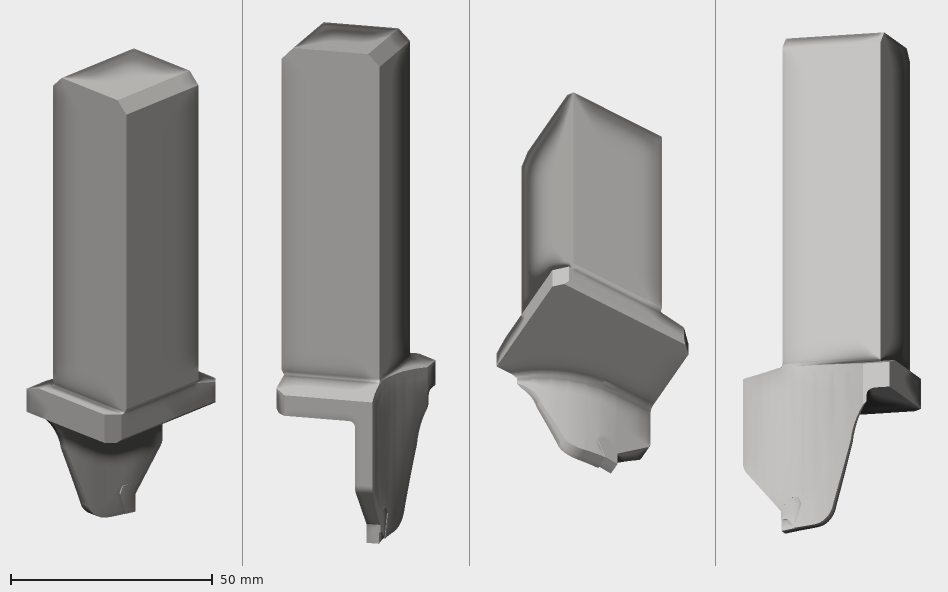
import cadquery as cq
import math

SHANK = 25.5
HEIGHT = 125.4
TOP_CHAMFER = 3.0
NECK_CHAMFER_X = 0.8
NECK_CHAMFER_Z = 1.4
NECK_FILLET = 1.0
FRONT_FILLET = 0.5

FLANGE_TOP = 41.2
FLANGE_BOTTOM = 33.6
FLANGE_LEFT = -5.4
FLANGE_RIGHT = SHANK - NECK_CHAMFER_X
FLANGE_FRONT = -3.9
FLANGE_BACK = 35.2
LEFT_EDGE_TOP = 39.9
BACK_EDGE_TOP = 38.9
CORNER_CHAMFER = 3.0
BOTTOM_CHAMFER = 0.9

FACE_RADIUS = 52.6
FACE_APEX_X = -0.3
FACE_APEX_Y = 25.7
BLADE_BACK_X = 3.4
BLADE_FRONT_Y = 2.0
BLADE_FILLET = 1.5
NOSE_Z = 0.5

NOTCH_Z = 30.3
SHOULDER_END = (3.0, 29.3)
SLOPE_TOP = (6.6, 20.9)
SLOPE_BOTTOM = (11.7, 5.5)
NOSE_START_Y = 17.0
BACK_SLOPE_TOP = (34.3, 14.9)
BACK_EDGE_BOTTOM = 17.2

TIP_Y = 25.7
TIP_TOP_Z = 4.9
INSERT_FACE_X = FACE_APEX_X
CHIP_DEPTH = 0.4
HEEL_Y = 22.2
INSERT_TOP_Z = 8.3
INSERT_TOP_BACK_Y = 23.8
INSERT_TOP_FRONT_Y = 21.2
INSERT_CORNER = (20.3, 6.5)
CHIP_TOP_Z = 2.9
CHIP_CORNER = (23.8, 2.6)

PICK_MARGIN = 0.1


def extrude_along_y(profile, y_start, y_end):
    """Extrude a closed XZ sketch between two Y positions."""
    return profile.extrude(y_start - y_end).translate((0, y_start, 0))


def make_shank():
    outline = (
        cq.Workplane("XZ")
        .moveTo(0, FLANGE_TOP)
        .lineTo(SHANK - NECK_CHAMFER_X, FLANGE_TOP)
        .lineTo(SHANK, FLANGE_TOP + NECK_CHAMFER_Z)
        .lineTo(SHANK, HEIGHT - TOP_CHAMFER)
        .lineTo(SHANK - TOP_CHAMFER, HEIGHT)
        .lineTo(TOP_CHAMFER, HEIGHT)
        .lineTo(0, HEIGHT - TOP_CHAMFER)
        .close()
    )
    return extrude_along_y(outline, 0, SHANK)


def make_flange():
    """Plate whose top falls away towards -X and +Y."""
    across = (
        cq.Workplane("XZ")
        .moveTo(FLANGE_LEFT, FLANGE_BOTTOM)
        .lineTo(FLANGE_RIGHT - BOTTOM_CHAMFER, FLANGE_BOTTOM)
        .lineTo(FLANGE_RIGHT, FLANGE_BOTTOM + BOTTOM_CHAMFER)
        .lineTo(FLANGE_RIGHT, FLANGE_TOP)
        .lineTo(-NECK_FILLET, FLANGE_TOP)
        .lineTo(FLANGE_LEFT, LEFT_EDGE_TOP)
        .close()
    )
    plate = extrude_along_y(across, FLANGE_FRONT, FLANGE_BACK)
    along = (
        cq.Workplane("YZ")
        .moveTo(FLANGE_FRONT, FLANGE_BOTTOM)
        .lineTo(FLANGE_BACK, FLANGE_BOTTOM)
        .lineTo(FLANGE_BACK, BACK_EDGE_TOP)
        .lineTo(SHANK + NECK_FILLET, FLANGE_TOP)
        .lineTo(FLANGE_FRONT, FLANGE_TOP)
        .close()
        .extrude(FLANGE_RIGHT - FLANGE_LEFT)
        .translate((FLANGE_LEFT, 0, 0))
    )
    return plate.edges("|Z and >X").chamfer(CORNER_CHAMFER).intersect(along)


def blade_outline():
    """Side outline of the blade, running up into the flange."""
    return (
        cq.Workplane("YZ")
        .moveTo(BLADE_FRONT_Y, FLANGE_BOTTOM)
        .lineTo(BLADE_FRONT_Y, NOTCH_Z)
        .lineTo(*SHOULDER_END)
        .threePointArc((5.1, 26.0), SLOPE_TOP)
        .lineTo(*SLOPE_BOTTOM)
        .threePointArc((13.5, 2.3), (NOSE_START_Y, 0.9))
        .lineTo(HEEL_Y, NOSE_Z)
        .lineTo(TIP_Y, 0)
        .lineTo(TIP_Y, TIP_TOP_Z)
        .lineTo(*BACK_SLOPE_TOP)
        .threePointArc((35.0, 15.9), (FLANGE_BACK, BACK_EDGE_BOTTOM))
        .lineTo(FLANGE_BACK, FLANGE_BOTTOM)
        .close()
    )


def make_blade():
    """Side outline kept only where it lies in front of the convex +X face."""
    width = BLADE_BACK_X - FLANGE_LEFT
    run = SHANK - BLADE_FRONT_Y
    radius = (run**2 + width**2) / (2 * width)
    mid_y = SHANK - run / 2
    mid_x = BLADE_BACK_X - radius + math.sqrt(radius**2 - (run / 2) ** 2)
    plan = (
        cq.Workplane("XY")
        .moveTo(FLANGE_LEFT, BLADE_FRONT_Y)
        .threePointArc((mid_x, mid_y), (BLADE_BACK_X, SHANK))
        .lineTo(BLADE_BACK_X, FLANGE_BACK)
        .lineTo(FLANGE_LEFT, FLANGE_BACK)
        .close()
        .extrude(FLANGE_BOTTOM)
    )
    side = blade_outline().extrude(width).translate((FLANGE_LEFT, 0, 0))
    return plan.intersect(side)


def fillet_profile(plane, corner, direction, size):
    """Concave triangle in the corner between a shank face and the flange top."""
    bow = direction * size * (1 - math.sqrt(0.5))
    return (
        cq.Workplane(plane)
        .moveTo(corner, FLANGE_TOP)
        .lineTo(corner, FLANGE_TOP + size)
        .threePointArc((corner + bow, FLANGE_TOP + abs(bow)), (corner + direction * size, FLANGE_TOP))
        .close()
    )


def make_neck_fillets():
    """Concave blends from the -X, +Y and -Y shank faces onto the flange."""
    left = extrude_along_y(fillet_profile("XZ", 0, -1, NECK_FILLET), 0, SHANK)
    back = fillet_profile("YZ", SHANK, 1, NECK_FILLET).extrude(FLANGE_RIGHT)
    front = fillet_profile("YZ", 0, -1, FRONT_FILLET).extrude(FLANGE_RIGHT)
    return left.union(back).union(front)


def make_face_cutter():
    """Vertical cylinder that hollows the -X side of the blade and flange."""
    return (
        cq.Workplane("XY")
        .center(FACE_APEX_X - FACE_RADIUS, FACE_APEX_Y)
        .circle(FACE_RADIUS)
        .extrude(HEIGHT)
    )


def make_insert_blank(left_x):
    """Insert outline, extruded from left_x to the +X face of the blade."""
    return (
        cq.Workplane("YZ")
        .moveTo(TIP_Y, 0)
        .lineTo(TIP_Y, TIP_TOP_Z)
        .lineTo(INSERT_TOP_BACK_Y, INSERT_TOP_Z)
        .lineTo(INSERT_TOP_FRONT_Y, INSERT_TOP_Z)
        .lineTo(*INSERT_CORNER)
        .lineTo(HEEL_Y, NOSE_Z)
        .close()
        .extrude(BLADE_BACK_X - left_x)
        .translate((left_x, 0, 0))
    )


def make_insert():
    """Flat-faced insert with a shallow chip recess at its cutting end."""
    chip_recess = (
        cq.Workplane("YZ")
        .moveTo(TIP_Y, 0)
        .lineTo(TIP_Y, CHIP_TOP_Z)
        .lineTo(*CHIP_CORNER)
        .lineTo(HEEL_Y, NOSE_Z)
        .close()
        .extrude(CHIP_DEPTH)
        .translate((INSERT_FACE_X, 0, 0))
    )
    return make_insert_blank(INSERT_FACE_X).cut(chip_recess)


def make_holder():
    body = make_flange().union(make_blade())
    root_edges = cq.selectors.BoxSelector(
        (FLANGE_LEFT + PICK_MARGIN, BLADE_FRONT_Y - PICK_MARGIN, FLANGE_BOTTOM - PICK_MARGIN),
        (BLADE_BACK_X + PICK_MARGIN, FLANGE_BACK - PICK_MARGIN, FLANGE_BOTTOM + PICK_MARGIN),
    )
    body = body.edges(root_edges).fillet(BLADE_FILLET)
    body = body.union(make_shank()).union(make_neck_fillets())
    return body.cut(make_face_cutter()).cut(make_insert_blank(FLANGE_LEFT))


holder = make_holder()
insert = make_insert()
result = cq.Compound.makeCompound([holder.solids().val(), insert.solids().val()])